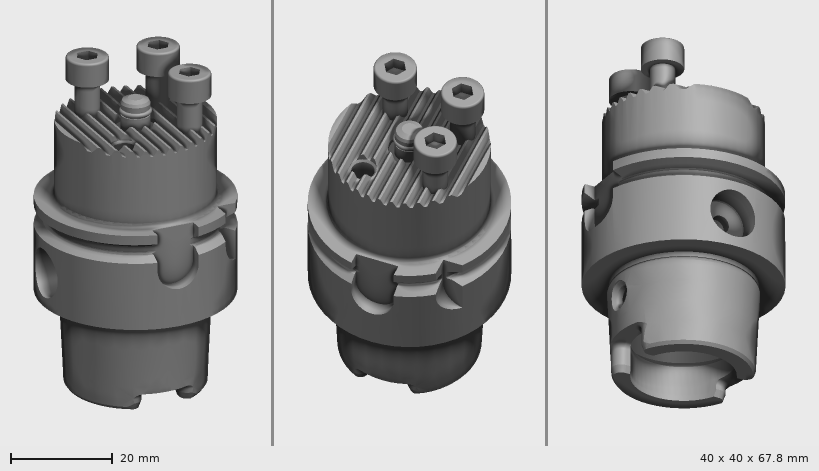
import cadquery as cq
import math

TOTAL_HEIGHT = 67.75
SHANK_TOP = 18.0
SHANK_RIM = 18.55
NECK_BOTTOM = 18.85
FLANGE_BOTTOM = 19.85
GROOVE_LOWER_RIM = 34.1
GROOVE_LOWER_FACE = 35.1
GROOVE_FLOOR_TOP = 36.65
GROOVE_UPPER_FACE = 36.9
GROOVE_UPPER_RIM = 38.1
FLANGE_TOP = 40.05
HEAD_TOP = 56.45
PIN_TOP = 61.0

FLANGE_RADIUS = 20.0
GROOVE_FLOOR_RADIUS = 17.35
GROOVE_LIP_RADIUS = 18.3
GROOVE_FILLET = 0.35
HEAD_RADIUS = 16.0
HEAD_ROOT_FILLET = 0.95
NECK_RADIUS = 14.85
RELIEF_RADIUS = 14.65
SHANK_TOP_RADIUS = 15.05
SHANK_TAPER = 1 / 20
SHANK_CHAMFER_HEIGHT = 0.7
SHANK_TIP_RADIUS = 13.7

BORE_RADIUS = 10.5
BORE_DEPTH = 19.0
UNDERCUT_RADIUS = 12.75
UNDERCUT_START = 7.45
UNDERCUT_FULL = 9.5

SERRATION_PITCH = 2.5
SERRATION_DEPTH = 1.3
SERRATION_COUNT = 12
SERRATION_FLOOR = 0.55
SERRATION_MOUTH = 2.0

SCREW_PLACES = [(-7.2, 8.3), (7.2, 8.3), (-8.5, -6.45)]
EMPTY_HOLE_PLACE = (8.5, -6.45)
SCREW_STEM_RADIUS = 2.5
SCREW_HEAD_RADIUS = 4.3
SCREW_HEAD_HEIGHT = 5.0
SCREW_HEAD_ROUND = 0.5
SOCKET_ACROSS_FLATS = 3.9
SOCKET_DEPTH = 2.5
SCREW_EMBEDDING = 4.05
EMPTY_HOLE_RADIUS = 2.3
EMPTY_HOLE_RIM_RADIUS = 2.7
EMPTY_HOLE_DEPTH = 9.5
DRILL_HALF_ANGLE = math.radians(59)

RECESS_RADIUS = 4.2
RECESS_DEPTH = 2.0
PIN_RADIUS = 3.0
PIN_FLAT_RADIUS = 1.5
PIN_SHOULDER_RADIUS = 2.65
PIN_SHOULDER_Z = 60.5
PIN_CAP_SIDE_TOP = 59.9
PIN_CAP_BOTTOM = 58.9
PIN_BODY_TOP = 57.45
PIN_GROOVE_RADIUS = 2.7
SEAL_RADIUS = 3.25
SEAL_TOP = 58.7
SEAL_BOTTOM = 57.65

KEYWAY_FLOOR = 16.95
KEYWAY_BOTTOM = 27.85
LEFT_KEYWAY_HALF_WIDTH = 5.55
LEFT_KEYWAY_CORNER = 4.55
RIGHT_KEYWAY_HALF_WIDTH = 4.5
NOTCH_OFFSET = 12.0
NOTCH_HALF_WIDTH = 5.4

POCKET_Z = 27.0
POCKET_RADIUS = 5.1
POCKET_FLOOR_Y = -14.5
POCKET_FLOOR_CHAMFER = 0.2
PILOT_RADIUS = 1.9
PILOT_DEPTH = 2.0

CLAMP_HOLE_Z = 13.95
CLAMP_HOLE_RADIUS = 2.3
CLAMP_RIM_RADIUS = 3.1
CLAMP_MOUTH_START = 13.9

DRIVE_HALF_WIDTH = 4.0
DRIVE_LEG_ROUND = 2.1
DRIVE_LEG_REACH = 12.75
DRIVE_MOUTH_HALF_WIDTH = 10.85
DRIVE_MOUTH_ANGLE = math.radians(22)
DRIVE_ROOF_FILLET = 1.1
LEFT_DRIVE_HEIGHT = 6.1
RIGHT_DRIVE_HEIGHT = 3.45
DRIVE_CHAMFER = 0.55
DRIVE_CHAMFER_HEIGHT = 1.5

CLEARANCE = 3.4
OUTSIDE = FLANGE_RADIUS + CLEARANCE


def turned_body():
    """Shank, neck, grooved flange and head as one revolved profile."""
    chamfer_radius = SHANK_TOP_RADIUS - SHANK_TAPER * (SHANK_TOP - SHANK_CHAMFER_HEIGHT)
    sag = 1 - math.sqrt(0.5)
    groove_mid = (
        GROOVE_FLOOR_RADIUS + GROOVE_FILLET * sag,
        GROOVE_LOWER_FACE + GROOVE_FILLET * sag,
    )
    root_mid = (HEAD_RADIUS + HEAD_ROOT_FILLET * sag, FLANGE_TOP + HEAD_ROOT_FILLET * sag)
    upper_lip_radius = GROOVE_FLOOR_RADIUS + GROOVE_UPPER_FACE - GROOVE_FLOOR_TOP
    return (
        cq.Workplane("XZ")
        .moveTo(0, 0)
        .lineTo(SHANK_TIP_RADIUS, 0)
        .lineTo(chamfer_radius, SHANK_CHAMFER_HEIGHT)
        .lineTo(SHANK_TOP_RADIUS, SHANK_TOP)
        .lineTo(NECK_RADIUS, SHANK_RIM)
        .lineTo(RELIEF_RADIUS, SHANK_RIM)
        .lineTo(RELIEF_RADIUS, NECK_BOTTOM)
        .lineTo(NECK_RADIUS, NECK_BOTTOM)
        .lineTo(NECK_RADIUS, FLANGE_BOTTOM)
        .lineTo(FLANGE_RADIUS, FLANGE_BOTTOM)
        .lineTo(FLANGE_RADIUS, GROOVE_LOWER_RIM)
        .lineTo(GROOVE_LIP_RADIUS, GROOVE_LOWER_FACE)
        .lineTo(GROOVE_FLOOR_RADIUS + GROOVE_FILLET, GROOVE_LOWER_FACE)
        .threePointArc(groove_mid, (GROOVE_FLOOR_RADIUS, GROOVE_LOWER_FACE + GROOVE_FILLET))
        .lineTo(GROOVE_FLOOR_RADIUS, GROOVE_FLOOR_TOP)
        .lineTo(upper_lip_radius, GROOVE_UPPER_FACE)
        .lineTo(FLANGE_RADIUS, GROOVE_UPPER_RIM)
        .lineTo(FLANGE_RADIUS, FLANGE_TOP)
        .lineTo(HEAD_RADIUS + HEAD_ROOT_FILLET, FLANGE_TOP)
        .threePointArc(root_mid, (HEAD_RADIUS, FLANGE_TOP + HEAD_ROOT_FILLET))
        .lineTo(HEAD_RADIUS, HEAD_TOP)
        .lineTo(0, HEAD_TOP)
        .close()
        .revolve(360, (0, 0, 0), (0, 1, 0))
    )


def shank_bore():
    """Bore from below, undercut to a larger radius behind the drive slots."""
    return (
        cq.Workplane("XZ")
        .polyline([
            (0, 0),
            (BORE_RADIUS, 0),
            (BORE_RADIUS, UNDERCUT_START),
            (UNDERCUT_RADIUS, UNDERCUT_FULL),
            (UNDERCUT_RADIUS, BORE_DEPTH),
            (0, BORE_DEPTH),
        ])
        .close()
        .revolve(360, (0, 0, 0), (0, 1, 0))
    )


def pointed_hole(radius, depth):
    """Drilled-hole cutter entering downwards from the origin, with a conical end."""
    tip = depth + radius / math.tan(DRILL_HALF_ANGLE)
    return (
        cq.Workplane("XZ")
        .polyline([(0, 0), (radius, 0), (radius, -depth), (0, -tip)])
        .close()
        .revolve(360, (0, 0, 0), (0, 1, 0))
    )


def serrations():
    """Parallel V-shaped grooves with narrow flat floors."""
    floor_z = HEAD_TOP - SERRATION_DEPTH
    groove = (
        cq.Workplane("YZ")
        .polyline([
            (-SERRATION_FLOOR / 2, floor_z),
            (SERRATION_FLOOR / 2, floor_z),
            (SERRATION_MOUTH / 2, HEAD_TOP),
            (-SERRATION_MOUTH / 2, HEAD_TOP),
        ])
        .close()
        .extrude(OUTSIDE, both=True)
    )
    cutter = cq.Workplane("XY")
    for index in range(SERRATION_COUNT):
        offset = SERRATION_PITCH * (index - (SERRATION_COUNT - 1) / 2)
        cutter = cutter.add(groove.translate((0, offset, 0)))
    return cutter.combine()


def empty_screw_hole():
    """Drilled hole with a 45 degree chamfer level with the serration floors."""
    x, y = EMPTY_HOLE_PLACE
    mouth_z = HEAD_TOP - SERRATION_DEPTH
    rim_step = EMPTY_HOLE_RIM_RADIUS - EMPTY_HOLE_RADIUS
    mouth = (
        cq.Workplane("XZ")
        .polyline([
            (0, mouth_z - rim_step),
            (EMPTY_HOLE_RADIUS, mouth_z - rim_step),
            (EMPTY_HOLE_RIM_RADIUS, mouth_z),
            (EMPTY_HOLE_RIM_RADIUS, HEAD_TOP),
            (0, HEAD_TOP),
        ])
        .close()
        .revolve(360, (0, 0, 0), (0, 1, 0))
    )
    hole = pointed_hole(EMPTY_HOLE_RADIUS, EMPTY_HOLE_DEPTH).translate((0, 0, mouth_z))
    return mouth.union(hole).translate((x, y, 0))


def cap_screw():
    """Socket head cap screw on the Z axis, its stem reaching into the head."""
    stem_bottom = HEAD_TOP - SCREW_EMBEDDING
    head_bottom = TOTAL_HEIGHT - SCREW_HEAD_HEIGHT
    stem = (
        cq.Workplane("XY", origin=(0, 0, stem_bottom))
        .circle(SCREW_STEM_RADIUS)
        .extrude(head_bottom - stem_bottom)
    )
    head = (
        cq.Workplane("XY", origin=(0, 0, head_bottom))
        .circle(SCREW_HEAD_RADIUS)
        .extrude(SCREW_HEAD_HEIGHT)
        .faces(">Z")
        .edges()
        .fillet(SCREW_HEAD_ROUND)
    )
    socket = (
        cq.Workplane("XY", origin=(0, 0, TOTAL_HEIGHT))
        .transformed(rotate=(0, 0, 90))
        .polygon(6, SOCKET_ACROSS_FLATS / math.cos(math.pi / 6))
        .extrude(-SOCKET_DEPTH)
    )
    return stem.union(head).cut(socket)


def pin_recess():
    return cq.Workplane("XY", origin=(0, 0, HEAD_TOP)).circle(RECESS_RADIUS).extrude(-RECESS_DEPTH)


def coolant_pin():
    """Pin with a tapered top and a seal ring sitting in its groove."""
    pin_bottom = HEAD_TOP - RECESS_DEPTH
    return (
        cq.Workplane("XZ")
        .moveTo(0, pin_bottom)
        .lineTo(PIN_RADIUS, pin_bottom)
        .lineTo(PIN_RADIUS, PIN_BODY_TOP)
        .lineTo(PIN_GROOVE_RADIUS, PIN_BODY_TOP)
        .lineTo(PIN_GROOVE_RADIUS, SEAL_BOTTOM)
        .threePointArc((SEAL_RADIUS, (SEAL_BOTTOM + SEAL_TOP) / 2), (PIN_GROOVE_RADIUS, SEAL_TOP))
        .lineTo(PIN_GROOVE_RADIUS, PIN_CAP_BOTTOM)
        .lineTo(PIN_RADIUS, PIN_CAP_BOTTOM)
        .lineTo(PIN_RADIUS, PIN_CAP_SIDE_TOP)
        .lineTo(PIN_SHOULDER_RADIUS, PIN_SHOULDER_Z)
        .lineTo(PIN_FLAT_RADIUS, PIN_TOP)
        .lineTo(0, PIN_TOP)
        .close()
        .revolve(360, (0, 0, 0), (0, 1, 0))
    )


def keyway(floor_x, half_width, corner_radius):
    """Open-topped slot with a flat back at floor_x and rounded lower corners."""
    arc_z = KEYWAY_BOTTOM + corner_radius
    flat_y = half_width - corner_radius
    outline = (
        cq.Workplane("YZ", origin=(floor_x, 0, 0))
        .moveTo(half_width, FLANGE_TOP)
        .lineTo(half_width, arc_z)
        .radiusArc((flat_y, KEYWAY_BOTTOM), corner_radius)
    )
    if flat_y > 0:
        outline = outline.lineTo(-flat_y, KEYWAY_BOTTOM)
    return (
        outline
        .radiusArc((-half_width, arc_z), corner_radius)
        .lineTo(-half_width, FLANGE_TOP)
        .close()
        .extrude(OUTSIDE - floor_x)
    )


def corner_notch():
    """Round-bottomed slot across the +X +Y corner of the flange."""
    slot = keyway(NOTCH_OFFSET, NOTCH_HALF_WIDTH, NOTCH_HALF_WIDTH)
    return slot.translate((0, NOTCH_OFFSET + NOTCH_HALF_WIDTH, 0))


def side_pocket():
    """Flat-bottomed round pocket with a small pointed hole in its floor."""
    pocket = (
        cq.Workplane("XZ", origin=(0, POCKET_FLOOR_Y, POCKET_Z))
        .circle(POCKET_RADIUS)
        .extrude(OUTSIDE + POCKET_FLOOR_Y)
        .faces(">Y")
        .chamfer(POCKET_FLOOR_CHAMFER)
    )
    pilot = (
        pointed_hole(PILOT_RADIUS, PILOT_DEPTH)
        .rotate((0, 0, 0), (1, 0, 0), 90)
        .translate((0, POCKET_FLOOR_Y, POCKET_Z))
    )
    return pocket.union(pilot)


def clamp_hole():
    """Hole through the -X shank wall with a conical mouth."""
    rim_step = CLAMP_RIM_RADIUS - CLAMP_HOLE_RADIUS
    return (
        cq.Workplane("XY")
        .polyline([
            (0, 0),
            (0, CLAMP_HOLE_RADIUS),
            (-CLAMP_MOUTH_START, CLAMP_HOLE_RADIUS),
            (-CLAMP_MOUTH_START - rim_step, CLAMP_RIM_RADIUS),
            (-OUTSIDE, CLAMP_RIM_RADIUS),
            (-OUTSIDE, 0),
        ])
        .close()
        .revolve(360, (0, 0, 0), (1, 0, 0))
        .translate((0, 0, CLAMP_HOLE_Z))
    )


def drive_slot_outline(z):
    """Slot towards +X whose sides curve outwards round the wall ends and run off at a slant."""
    leg_x = DRIVE_LEG_REACH - DRIVE_LEG_ROUND
    leg_y = DRIVE_HALF_WIDTH + DRIVE_LEG_ROUND
    mouth_y = DRIVE_MOUTH_HALF_WIDTH
    arc_end_x = leg_x + DRIVE_LEG_ROUND * math.cos(DRIVE_MOUTH_ANGLE)
    arc_end_y = leg_y + DRIVE_LEG_ROUND * math.sin(DRIVE_MOUTH_ANGLE)
    mouth_x = arc_end_x - (mouth_y - arc_end_y) * math.tan(DRIVE_MOUTH_ANGLE)
    return (
        cq.Workplane("XY", origin=(0, 0, z))
        .moveTo(0, -DRIVE_HALF_WIDTH)
        .lineTo(leg_x, -DRIVE_HALF_WIDTH)
        .threePointArc((DRIVE_LEG_REACH, -leg_y), (arc_end_x, -arc_end_y))
        .lineTo(mouth_x, -mouth_y)
        .lineTo(OUTSIDE, -mouth_y)
        .lineTo(OUTSIDE, mouth_y)
        .lineTo(mouth_x, mouth_y)
        .lineTo(arc_end_x, arc_end_y)
        .threePointArc((DRIVE_LEG_REACH, leg_y), (leg_x, DRIVE_HALF_WIDTH))
        .lineTo(0, DRIVE_HALF_WIDTH)
        .close()
    )


def drive_slot(height):
    """Drive slot towards +X with a filleted roof and chamfered lower edges."""
    slot = drive_slot_outline(0).extrude(height).faces(">Z").edges().fillet(DRIVE_ROOF_FILLET)
    flare_angle = math.degrees(math.atan2(DRIVE_CHAMFER, DRIVE_CHAMFER_HEIGHT))
    flare = drive_slot_outline(DRIVE_CHAMFER_HEIGHT).extrude(-DRIVE_CHAMFER_HEIGHT, taper=-flare_angle)
    return slot.union(flare)


def turned_to_left(cutter):
    return cutter.rotate((0, 0, 0), (0, 0, 1), 180)


body = turned_body()
body = body.cut(shank_bore())
body = body.cut(turned_to_left(drive_slot(LEFT_DRIVE_HEIGHT)))
body = body.cut(drive_slot(RIGHT_DRIVE_HEIGHT))
body = body.cut(clamp_hole())

body = body.cut(turned_to_left(keyway(KEYWAY_FLOOR, LEFT_KEYWAY_HALF_WIDTH, LEFT_KEYWAY_CORNER)))
body = body.cut(keyway(KEYWAY_FLOOR, RIGHT_KEYWAY_HALF_WIDTH, RIGHT_KEYWAY_HALF_WIDTH))
body = body.cut(corner_notch())
body = body.cut(side_pocket())

body = body.cut(serrations())
body = body.cut(empty_screw_hole())
body = body.cut(pin_recess())
body = body.union(coolant_pin())
for x, y in SCREW_PLACES:
    body = body.union(cap_screw().translate((x, y, 0)))

result = body